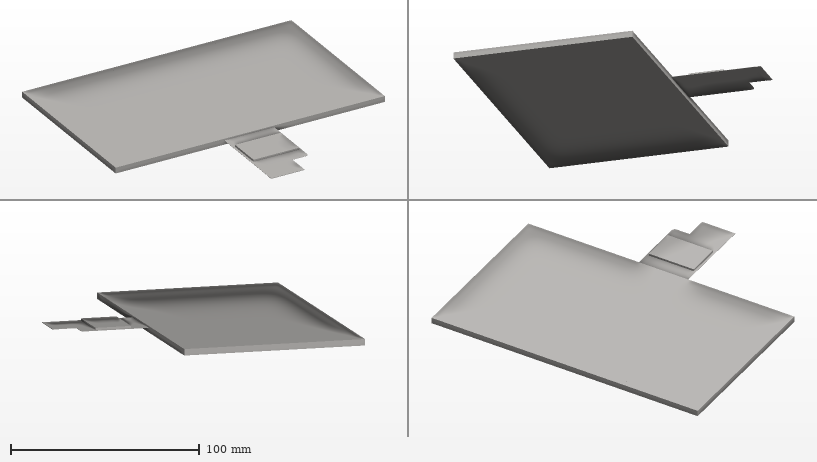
import cadquery as cq

overall_length_x = 150.0
overall_height = 3.7

panel_length_x = 100.0
panel_width_y = 164.7
panel_thickness = 3.5

glass_margin_left = 3.37
glass_margin_right = 7.81
glass_margin_front = 2.42
glass_margin_back = 5.51
glass_thickness = 1.0
glass_length_x = panel_length_x - glass_margin_left - glass_margin_right
glass_width_y = panel_width_y - glass_margin_front - glass_margin_back
glass_bottom = panel_thickness - glass_thickness

cable_front_y = 66.5
cable_width_y = 30.5
cable_tail_width_y = 20.5
cable_shoulder_x = 137.0
cable_corner_radius = 2.0
cable_thickness = 0.15
cable_bottom = 2.35
cable_top = cable_bottom + cable_thickness
cable_back_y = cable_front_y + cable_width_y
cable_tail_back_y = cable_front_y + cable_tail_width_y

pad_length_x = 3.5
pad_thickness = 0.13

cover_left_x = 109.15
cover_length_x = 19.72
cover_front_y = 67.83
cover_width_y = 27.76
cover_thickness = 0.34
cover_bottom = overall_height - cover_thickness
platform_height = cover_bottom - cable_top


def block(x, y, z, length_x, width_y, height):
    """Box with its lowest corner at (x, y, z)."""
    return cq.Workplane("XY").box(length_x, width_y, height, centered=False).translate((x, y, z))


def make_glass():
    return block(
        glass_margin_left, glass_margin_front, glass_bottom,
        glass_length_x, glass_width_y, glass_thickness,
    )


def make_housing():
    plate = block(0, 0, 0, panel_length_x, panel_width_y, panel_thickness)
    return plate.cut(make_glass())


def make_cable_sheet():
    return (
        cq.Workplane("XY", origin=(0, 0, cable_bottom))
        .moveTo(panel_length_x, cable_front_y)
        .lineTo(overall_length_x, cable_front_y)
        .lineTo(overall_length_x, cable_tail_back_y)
        .lineTo(cable_shoulder_x, cable_tail_back_y)
        .lineTo(cable_shoulder_x, cable_back_y - cable_corner_radius)
        .radiusArc((cable_shoulder_x - cable_corner_radius, cable_back_y), -cable_corner_radius)
        .lineTo(panel_length_x, cable_back_y)
        .close()
        .extrude(cable_thickness)
    )


def make_cable():
    contact_pad = block(
        overall_length_x - pad_length_x, cable_front_y, cable_bottom - pad_thickness,
        pad_length_x, cable_tail_width_y, pad_thickness,
    )
    platform = block(
        cover_left_x, cover_front_y, cable_top,
        cover_length_x, cover_width_y, platform_height,
    )
    return make_cable_sheet().union(contact_pad).union(platform)


def make_cover():
    return block(
        cover_left_x, cover_front_y, cover_bottom,
        cover_length_x, cover_width_y, cover_thickness,
    )


housing = make_housing()
glass = make_glass()
cable = make_cable()
cover = make_cover()

result = cq.Compound.makeCompound([housing.val(), glass.val(), cable.val(), cover.val()])